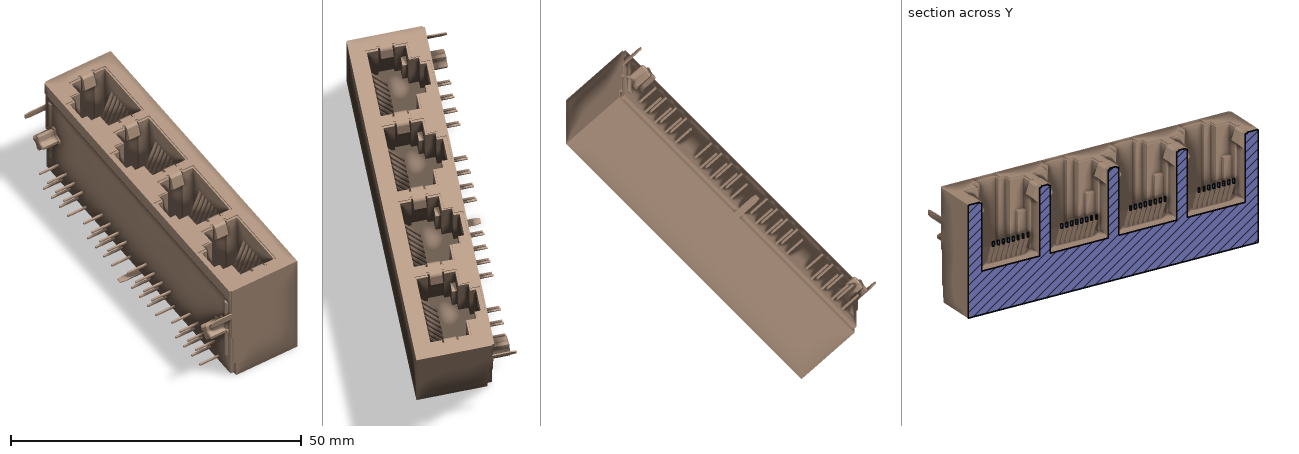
import cadquery as cq
import math


length = 59.2
height = 21.35
sheet = 0.25
bottom_setback = 12.5
side_foot_depth = 13.0
body_depth = 13.4
front_depth = 13.75
seam_depth = 0.1
foot_bottom = 3.1
foot_top = 9.7
strip_bottom = 18.9
body_bottom = 0.55
body_half_length = 29.2

tab_width = 1.25
tab_tip_width = 0.9
tab_taper = 0.9
side_tab_end = 17.6
bottom_tab_end = 17.4
side_tab_z = 15.1

rib_radius = 0.5
rib_x = 27.95
rib_bottom = 4.3
rib_top = 17.4

post_x = 26.65
post_z = 10.55
post_end = 16.85
post_chamfer = 0.2
post_reach = 1.65
post_tip_half_width = 0.3
post_waist = (0.6, 0.75)
collar_reach = 2.0
collar_tip_half_width = 0.35
collar_waist = (0.7, 0.9)

port_count = 4
port_pitch = 13.95
port_floor = 8.3
opening_half_widths = (5.85, 3.2, 1.95)
opening_depths = (9.8, 11.6, 12.65)
opening_back = 3.0
window_half_widths = (6.2, 3.4, 2.3)
window_depths = (10.2, 11.8, 13.4)
window_back = 2.7
ledge_inner_x = 4.25
ledge_back = 8.95
ledge_top = 15.4

clip_y = -6.45
clip_width = 2.2
clip_groove_width = 2.85
clip_slot_width = 3.2
clip_groove_half_span = 6.35
clip_slot_half_span = 6.6
clip_bend_reach = 0.6
clip_bend_drop = 0.3
clip_reach = 1.3
clip_knee_drop = 2.25
clip_foot_drop = 3.55

contacts_per_port = 8
contact_pitch = 1.0
contact_width = 0.5
contact_thickness = 0.35
contact_top = 17.3
contact_bottom = 9.4
contact_end = 6.2
pin_row_span = 8.95
pin_pitch = pin_row_span / (contacts_per_port - 1)
pin_size = 0.35
pin_end = 17.3
pin_rows = (4.2, 1.65)


def box(x_min, x_max, y_min, y_max, z_min, z_max):
    size = (x_max - x_min, y_max - y_min, z_max - z_min)
    return cq.Workplane("XY").box(*size, centered=False).translate((x_min, y_min, z_min))


def centred_box(half_x, y_min, y_max, z_min, z_max):
    return box(-half_x, half_x, y_min, y_max, z_min, z_max)


def centred_positions(count, pitch):
    return [(i - (count - 1) / 2) * pitch for i in range(count)]


def make_block():
    """Block with the shield's side sheets, their tabs and the folded front strip."""
    half = length / 2
    side_outline = [
        (0, 0),
        (-bottom_setback, 0),
        (-bottom_setback, foot_bottom),
        (-side_foot_depth, foot_bottom),
        (-side_foot_depth, foot_top),
        (-body_depth, foot_top),
        (-body_depth, side_tab_z - tab_width / 2),
        (-side_tab_end + tab_taper, side_tab_z - tab_width / 2),
        (-side_tab_end, side_tab_z - tab_tip_width / 2),
        (-side_tab_end, side_tab_z + tab_tip_width / 2),
        (-side_tab_end + tab_taper, side_tab_z + tab_width / 2),
        (-body_depth, side_tab_z + tab_width / 2),
        (-body_depth, height),
        (0, height),
    ]
    block = cq.Workplane("YZ").polyline(side_outline).close().extrude(half, both=True)
    for edge_depth, z_min, z_max in (
        (side_foot_depth, foot_bottom, foot_top),
        (body_depth, foot_top, strip_bottom),
    ):
        block = block.cut(centred_box(half - sheet, -side_tab_end, -edge_depth + seam_depth, z_min, z_max))
    block = block.union(centred_box(body_half_length, -body_depth, 0, body_bottom, height))
    return block.union(centred_box(half - sheet, -front_depth, 0, strip_bottom, height))


def make_bottom_tab():
    """Flat tapered tab pointing to -Y, one sheet thick above Z = 0."""
    outline = [
        (-tab_width / 2, -bottom_setback + sheet),
        (-tab_width / 2, -bottom_tab_end + tab_taper),
        (-tab_tip_width / 2, -bottom_tab_end),
        (tab_tip_width / 2, -bottom_tab_end),
        (tab_width / 2, -bottom_tab_end + tab_taper),
        (tab_width / 2, -bottom_setback + sheet),
    ]
    return cq.Workplane("XY").polyline(outline).close().extrude(sheet)


def make_rib(x):
    rib = cq.Workplane("XY").circle(rib_radius).extrude(rib_top - rib_bottom)
    return rib.translate((x, -front_depth + rib_radius, rib_bottom))


def make_star(x, reach, tip_half_width, waist, end):
    """Four-pointed prism that runs from inside the body to Y = -end."""
    waist_near, waist_far = waist
    arm = [
        (reach, -tip_half_width),
        (reach, tip_half_width),
        (waist_far, waist_near),
        (waist_near, waist_far),
    ]
    outline = []
    for turn in range(4):
        cos_turn = math.cos(turn * math.pi / 2)
        sin_turn = math.sin(turn * math.pi / 2)
        outline += [(u * cos_turn - v * sin_turn, u * sin_turn + v * cos_turn) for u, v in arm]
    plane = cq.Workplane("XZ", origin=(x, -bottom_setback, post_z))
    return plane.polyline(outline).close().extrude(end - bottom_setback)


def make_post(x):
    """Four-pointed post with a chamfered end and a low, wider collar at its root."""
    shaft = make_star(x, post_reach, post_tip_half_width, post_waist, post_end)
    shaft = shaft.faces("<Y").chamfer(post_chamfer)
    return shaft.union(make_star(x, collar_reach, collar_tip_half_width, collar_waist, front_depth))


def stepped_prism(half_widths, depths, back, z_min):
    """Port-shaped prism: three boxes that narrow toward the front, up to the top face."""
    prism = None
    for half_width, depth in zip(half_widths, depths):
        step = centred_box(half_width, -depth, -back, z_min, height)
        prism = step if prism is None else prism.union(step)
    return prism


def make_port_cavity():
    cavity = stepped_prism(opening_half_widths, opening_depths, opening_back, port_floor)
    for side in (-1, 1):
        x_min, x_max = sorted((side * ledge_inner_x, side * opening_half_widths[0]))
        cavity = cavity.cut(box(x_min, x_max, -opening_depths[0], -ledge_back, port_floor, ledge_top))
    cavity = cavity.union(stepped_prism(window_half_widths, window_depths, window_back, height - sheet))
    for width, half_span, bottom in (
        (clip_groove_width, clip_groove_half_span, port_floor),
        (clip_slot_width, clip_slot_half_span, height - sheet),
    ):
        cavity = cavity.union(
            centred_box(half_span, clip_y - width / 2, clip_y + width / 2, bottom, height)
        )
    return cavity


def make_right_clip():
    """Bent spring clip on the +X side of a port centred at X = 0."""
    edge = window_half_widths[0]
    clip = (
        cq.Workplane("XZ", origin=(0, clip_y, 0))
        .moveTo(clip_slot_half_span, height)
        .lineTo(edge, height)
        .tangentArcPoint((edge - clip_bend_reach, height - clip_bend_drop), relative=False)
        .lineTo(edge - clip_reach, height - clip_knee_drop)
        .lineTo(edge, height - clip_foot_drop)
        .lineTo(clip_slot_half_span, height - clip_foot_drop)
        .close()
    )
    return clip.extrude(clip_width / 2, both=True)


def make_contact(x):
    """Sloping contact wire that leaves the back wall and leans into the port."""
    slope_length = math.hypot(contact_end - opening_back, contact_top - contact_bottom)
    drop = contact_thickness * slope_length / (contact_end - opening_back)
    wall_inset = contact_thickness
    outline = [
        (-opening_back + wall_inset, contact_top),
        (-opening_back, contact_top),
        (-contact_end, contact_bottom),
        (-contact_end, contact_bottom - drop),
        (-opening_back, contact_top - drop),
        (-opening_back + wall_inset, contact_top - drop),
    ]
    wire = cq.Workplane("YZ", origin=(x, 0, 0)).polyline(outline).close()
    return wire.extrude(contact_width / 2, both=True)


def make_pin(x, z):
    half = pin_size / 2
    return box(x - half, x + half, -pin_end, -bottom_setback, z - half, z + half)


result = make_block()

cavity = make_port_cavity()
right_clip = make_right_clip()
left_clip = right_clip.mirror("YZ")
for port_x in centred_positions(port_count, port_pitch):
    result = result.cut(cavity.translate((port_x, 0, 0)))
    result = result.union(right_clip.translate((port_x, 0, 0)))
    result = result.union(left_clip.translate((port_x, 0, 0)))
    for offset in centred_positions(contacts_per_port, contact_pitch):
        result = result.union(make_contact(port_x + offset))

for port_x in centred_positions(port_count, port_pitch):
    for index, offset in enumerate(centred_positions(contacts_per_port, pin_pitch)):
        result = result.union(make_pin(port_x + offset, pin_rows[index % 2]))

result = result.union(make_bottom_tab())
for side in (-1, 1):
    result = result.union(make_rib(side * rib_x))
    result = result.union(make_post(side * post_x))